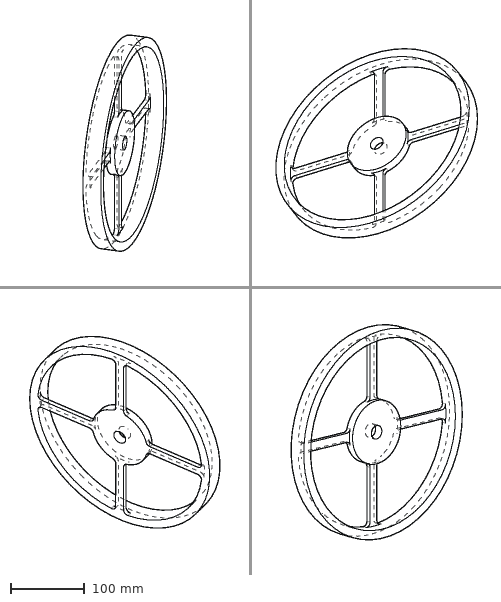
import cadquery as cq

outer_diameter = 292.0
rim_width = 25.5
rim_thickness = 12.9
hub_diameter = 88.8
hub_width = rim_width / 2
bore_diameter = 19.0
spoke_width = 12.9
spoke_depth = rim_width / 4
spoke_count = 4
corner_radius = 6.5

rim_inner_diameter = outer_diameter - 2 * rim_thickness
flush_face = -rim_width / 2


def disc(diameter, depth):
    """Solid disc on the wheel axis, starting at the flush face."""
    return cq.Workplane("YZ", origin=(flush_face, 0, 0)).circle(diameter / 2).extrude(depth)


def spoke_bars():
    """Crossing bars, each forming two opposite spokes."""
    bar = (
        cq.Workplane("YZ", origin=(flush_face, 0, 0))
        .rect(rim_inner_diameter + rim_thickness, spoke_width)
        .extrude(spoke_depth)
    )
    bars = bar
    for index in range(1, spoke_count // 2):
        angle = index * 360 / spoke_count
        bars = bars.union(bar.rotate((0, 0, 0), (1, 0, 0), angle))
    return bars


windows = disc(rim_inner_diameter, spoke_depth).cut(disc(hub_diameter, spoke_depth)).cut(spoke_bars())
windows = windows.edges("|X").fillet(corner_radius)
web = disc(outer_diameter, spoke_depth).cut(windows)

rim = disc(outer_diameter, rim_width).cut(disc(rim_inner_diameter, rim_width))
hub = disc(hub_diameter, hub_width)
bore = disc(bore_diameter, rim_width)

result = web.union(rim).union(hub).cut(bore)